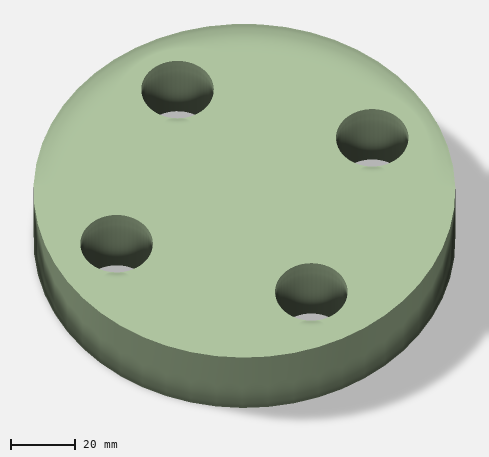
import cadquery as cq

flange_diameter = 130.0
flange_thickness = 25.4
bolt_circle_diameter = 88.9
bolt_hole_diameter = 22.4
bolt_hole_count = 4

disc = cq.Workplane("XY").circle(flange_diameter / 2).extrude(flange_thickness)

result = (
    disc.faces(">Z")
    .workplane()
    .polarArray(bolt_circle_diameter / 2, 0, 360, bolt_hole_count)
    .hole(bolt_hole_diameter)
)